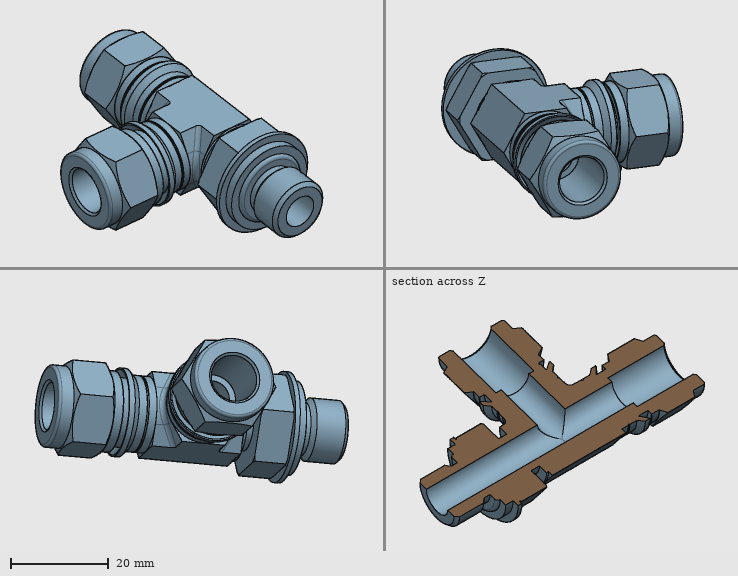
import cadquery as cq
import math

BORE_D = 7.1

SHOULDER_D = 15.8
BODY_FLATS = 15.9
BODY_REACH = 9.5
CROTCH_FILLET = 1.0

GROOVE_START = 11.15
GROOVE_END = 11.5
CONE_START = 13.3
RIM_START = 14.55
RIM_END = 15.7
COLLAR_START = 16.75
NUT_START = 18.7
NUT_END = 27.5
LEG_END = 30.65

GROOVE_D = 15.4
RIM_D = 18.25
RECESS_D = 17.6
RECESS_DEPTH = 1.3
NECK_D = 14.3
COLLAR_D = 16.8
COLLAR_CHAMFER = 0.1
NUT_FLATS = 17.5
NUT_CHAMFER_ANGLE = 30
SLEEVE_D = 17.0
SLEEVE_FILLET = 0.6
SOCKET_D = 9.75
SOCKET_DEPTH = LEG_END - RIM_END
SOCKET_CHAMFER = 0.5

STUD_NECK_D = 11.1
SHOULDER_END = 10.05
LOCKNUT_START = 12.1
WASHER_START = 19.1
RING_START = 20.1
SEAL_START = 22.0
SEAL_END = 22.85
THREAD_CONE_START = 24.3
STUD_END = 32.3

LOCKNUT_FLATS = 19.0
LOCKNUT_CHAMFER_D = 21.0
WASHER_D = 22.9
RING_D = 19.5
SEAL_D = 15.8
THREAD_D = 13.1
THREAD_RUNOUT = (THREAD_D - STUD_NECK_D) / 2
THREAD_CHAMFER = 0.8


def hex_corners(flats):
    """Corner-to-corner size of a hexagon with the given size across flats."""
    return flats / math.cos(math.radians(30))


def disc(start, end, diameter):
    """Cylinder on the X axis between two positions."""
    return cq.Workplane("YZ", origin=(start, 0, 0)).circle(diameter / 2).extrude(end - start)


def cone(start, end, start_d, end_d):
    """Truncated cone on the X axis between two positions."""
    frustum = cq.Solid.makeCone(
        start_d / 2, end_d / 2, end - start, cq.Vector(start, 0, 0), cq.Vector(1, 0, 0)
    )
    return cq.Workplane(obj=frustum)


def hex_bar(start, end, flats):
    """Hexagonal bar on the X axis with flats facing +Z and -Z and corners facing +Y and -Y."""
    return cq.Workplane("YZ", origin=(start, 0, 0)).polygon(6, hex_corners(flats)).extrude(end - start)


def hex_nut(start, end, flats, chamfer_d):
    """Hexagonal nut whose corners are turned off by a cone at both ends."""
    corner_d = hex_corners(flats)
    chamfer_depth = (corner_d - chamfer_d) / 2
    chamfer_length = chamfer_depth * math.tan(math.radians(NUT_CHAMFER_ANGLE))
    turned = disc(start, end, corner_d).faces("<X or >X").chamfer(chamfer_length, chamfer_depth)
    return hex_bar(start, end, flats).intersect(turned)


def to_run(leg):
    """Turn a leg from the +X direction to the -X end of the run."""
    return leg.mirror("YZ")


def to_branch(leg):
    """Turn a leg from the +X direction to the branch direction, -Y."""
    return leg.rotate((0, 0, 0), (0, 0, 1), -90)


def body_bar(start, end, round_sides):
    """Hexagonal bar whose listed sides (+1 or -1 along Y) are round instead of cornered."""
    tangent_y = BODY_FLATS / 2 * math.cos(math.radians(30))
    hexagon = hex_bar(start, end, BODY_FLATS)
    for side in round_sides:
        corner_side = (
            cq.Workplane("XY")
            .box(end - start, BODY_FLATS, BODY_FLATS / 2, centered=(False, True, True))
            .translate((start, side * (tangent_y + BODY_FLATS / 2), 0))
        )
        hexagon = hexagon.cut(corner_side)
    return hexagon.union(disc(start, end, BODY_FLATS))


def tee_body():
    run = body_bar(-BODY_REACH, BODY_REACH, [-1])
    branch = to_branch(body_bar(0, BODY_REACH, [-1, 1]))
    body = run.union(branch)
    crotch_edges = body.edges().filter(lambda edge: abs(abs(edge.Center().x) + edge.Center().y) < 0.005)
    return crotch_edges.fillet(CROTCH_FILLET)


def compression_leg():
    """Outside of one compression end, built along +X."""
    collar = disc(COLLAR_START, NUT_START, COLLAR_D).faces("<X").chamfer(COLLAR_CHAMFER)
    sleeve = disc(NUT_END, LEG_END, SLEEVE_D).faces(">X").edges().fillet(SLEEVE_FILLET)
    return (
        disc(BODY_REACH, GROOVE_START, SHOULDER_D)
        .union(disc(GROOVE_START, GROOVE_END, GROOVE_D))
        .union(disc(GROOVE_END, CONE_START, SHOULDER_D))
        .union(cone(CONE_START, RIM_START, SHOULDER_D, RIM_D))
        .union(disc(RIM_START, RIM_END, RIM_D))
        .cut(cone(RIM_END - RECESS_DEPTH, RIM_END, NECK_D, RECESS_D))
        .union(disc(RIM_END - RECESS_DEPTH, COLLAR_START, NECK_D))
        .union(collar)
        .union(hex_nut(NUT_START, NUT_END, NUT_FLATS, SLEEVE_D))
        .union(sleeve)
    )


def leg_cavity():
    """Bore, tube socket and socket lead-in of one compression end, built along +X."""
    lead_in = cone(LEG_END - SOCKET_CHAMFER, LEG_END, SOCKET_D, SOCKET_D + 2 * SOCKET_CHAMFER)
    return (
        disc(0, LEG_END, BORE_D)
        .union(disc(LEG_END - SOCKET_DEPTH, LEG_END, SOCKET_D))
        .union(lead_in)
    )


def stud():
    """Threaded stud with its locknut, washer, retaining ring and seal."""
    seal = disc(RING_START, SEAL_END, SEAL_D).faces(">X").edges().fillet(SEAL_END - SEAL_START)
    thread = disc(THREAD_CONE_START, STUD_END, THREAD_D)
    thread = thread.faces("<X").chamfer(THREAD_RUNOUT)
    thread = thread.faces(">X").chamfer(THREAD_CHAMFER)
    return (
        disc(BODY_REACH, SHOULDER_END, SHOULDER_D)
        .union(disc(SHOULDER_END, THREAD_CONE_START, STUD_NECK_D))
        .union(hex_nut(LOCKNUT_START, WASHER_START, LOCKNUT_FLATS, LOCKNUT_CHAMFER_D))
        .union(disc(WASHER_START, RING_START, WASHER_D))
        .union(disc(RING_START, SEAL_START, RING_D))
        .union(seal)
        .union(thread)
    )


result = (
    tee_body()
    .union(to_run(compression_leg()))
    .union(to_branch(compression_leg()))
    .union(stud())
    .cut(to_run(leg_cavity()))
    .cut(to_branch(leg_cavity()))
    .cut(disc(0, STUD_END, BORE_D))
)